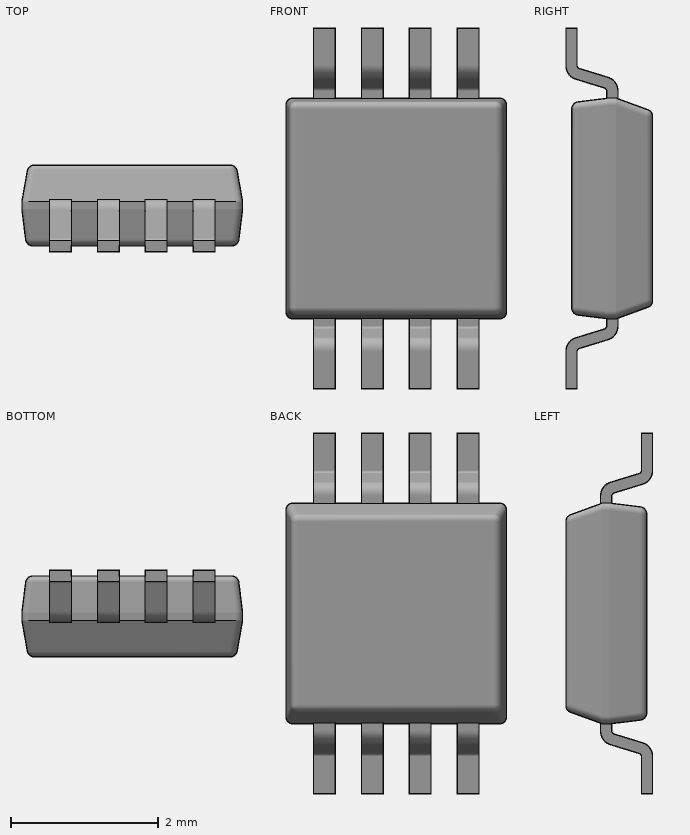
import cadquery as cq
import math

BODY_WIDTH = 3.0
BODY_HEIGHT = 3.0
STANDOFF = 0.08
BODY_BACK = 1.18
BELT_THICKNESS = 0.1
BELT_CENTRE = 0.632
BELT_FRONT = BELT_CENTRE - BELT_THICKNESS / 2
BELT_BACK = BELT_CENTRE + BELT_THICKNESS / 2
FRONT_DRAFT = 7.0
BACK_SIDE_DRAFT = 10.0
BACK_END_DRAFT = 20.0
EDGE_RADIUS = 0.1

OVERALL_HEIGHT = 4.9
LEADS_PER_SIDE = 4
LEAD_PITCH = 0.65
LEAD_WIDTH = 0.3
LEAD_THICKNESS = 0.155
FOOT_LENGTH = 0.51
LEAD_SLOPE = 17.0
BEND_INNER_RADIUS = 0.04
LEAD_ROOT_DEPTH = 0.3

TOLERANCE = 1e-4


def drafted_half(y_belt, y_face, side_draft, end_draft):
    """Pyramid frustum from the belt outline to a smaller face."""
    depth = abs(y_face - y_belt)
    face_width = BODY_WIDTH - 2 * depth * math.tan(math.radians(side_draft))
    face_height = BODY_HEIGHT - 2 * depth * math.tan(math.radians(end_draft))
    return (
        cq.Workplane("XZ", origin=(0, y_belt, 0))
        .rect(BODY_WIDTH, BODY_HEIGHT)
        .workplane(offset=y_belt - y_face)
        .rect(face_width, face_height)
        .loft(ruled=True, combine=True)
    )


def is_belt_line(edge):
    """True for edges that run around the belt, where the draft changes."""
    box = edge.BoundingBox()
    flat = box.ylen < TOLERANCE
    return flat and any(abs(edge.Center().y - y) < TOLERANCE for y in (BELT_FRONT, BELT_BACK))


def make_body():
    belt = cq.Workplane("XY").box(BODY_WIDTH, BELT_THICKNESS, BODY_HEIGHT)
    belt = belt.translate((0, BELT_CENTRE, 0))
    front = drafted_half(BELT_FRONT, STANDOFF, FRONT_DRAFT, FRONT_DRAFT)
    back = drafted_half(BELT_BACK, BODY_BACK, BACK_SIDE_DRAFT, BACK_END_DRAFT)
    body = belt.union(front).union(back)
    rounded = [edge for edge in body.edges().vals() if not is_belt_line(edge)]
    return body.newObject(rounded).fillet(EDGE_RADIUS)


def make_lead():
    """Upper lead at X = 0, swept along its centre line from the foot tip into the body."""
    radius = BEND_INNER_RADIUS + LEAD_THICKNESS / 2
    slope = math.radians(LEAD_SLOPE)
    bend = math.pi / 2 - slope
    tip_y = LEAD_THICKNESS / 2
    tip_z = OVERALL_HEIGHT / 2

    bend_y = radius * (1 - math.cos(bend))
    bend_z = radius * math.sin(bend)
    slope_y = BELT_CENTRE - tip_y - 2 * bend_y
    slope_z = slope_y * math.tan(slope)

    foot_z = tip_z - FOOT_LENGTH
    slope_start = (tip_y + bend_y, foot_z - bend_z)
    slope_end = (slope_start[0] + slope_y, slope_start[1] - slope_z)
    exit_z = slope_end[1] - bend_z
    root_z = BODY_HEIGHT / 2 - LEAD_ROOT_DEPTH

    path = (
        cq.Workplane("YZ")
        .moveTo(tip_y, tip_z)
        .lineTo(tip_y, foot_z)
        .tangentArcPoint(slope_start, relative=False)
        .lineTo(*slope_end)
        .tangentArcPoint((BELT_CENTRE, exit_z), relative=False)
        .lineTo(BELT_CENTRE, root_z)
    )
    section = cq.Workplane("XY", origin=(0, tip_y, tip_z)).rect(LEAD_WIDTH, LEAD_THICKNESS)
    return section.sweep(path)


def make_part():
    part = make_body()
    upper_lead = make_lead()
    lower_lead = upper_lead.mirror("XY")
    for index in range(LEADS_PER_SIDE):
        x = (index - (LEADS_PER_SIDE - 1) / 2) * LEAD_PITCH
        for lead in (upper_lead, lower_lead):
            part = part.union(lead.translate((x, 0, 0)))
    return part


result = make_part()